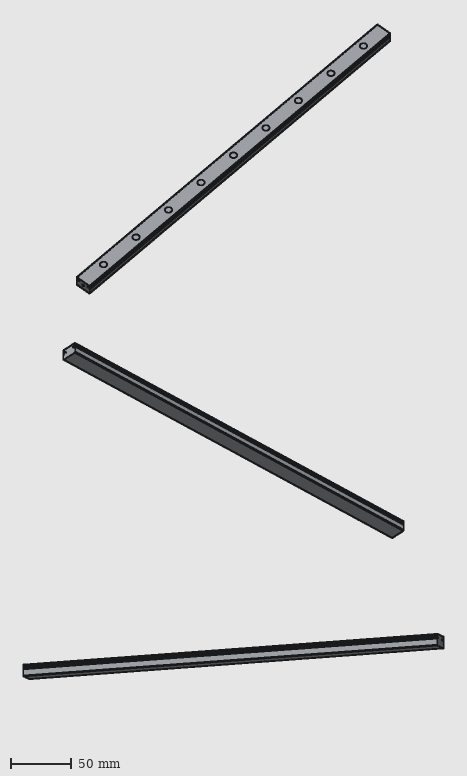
import cadquery as cq

width = 15.0
length = 370.0
height = 10.0
top_bevel = 0.5
bottom_bevel = 0.7

track_height = 7.0
track_radius = 1.5
track_depth = 0.6
slot_height = 0.6
slot_depth = 3.0

hole_count = 9
hole_pitch = 40.0
hole_diameter = 6.0
cap_recess = 0.1

end_hole_diameter = 2.0
end_hole_height = height / 2
end_hole_depth = 5.0


def rail_body():
    """Plain bar with all four long edges bevelled."""
    bar = cq.Workplane("XY").box(width, length, height, centered=(True, True, False))
    bar = bar.faces(">Z").edges("|Y").chamfer(top_bevel)
    return bar.faces("<Z").edges("|Y").chamfer(bottom_bevel)


def ball_track(side):
    """Groove and slot cutter for one flank; side is -1 for -X and +1 for +X."""
    flank_x = side * width / 2
    groove_x = flank_x + side * (track_radius - track_depth)
    groove = (
        cq.Workplane("XZ")
        .center(groove_x, track_height)
        .circle(track_radius)
        .extrude(length / 2, both=True)
    )
    slot = (
        cq.Workplane("XZ")
        .center(flank_x, track_height)
        .rect(2 * slot_depth, slot_height)
        .extrude(length / 2, both=True)
    )
    return groove.union(slot)


def cap_recesses():
    """Cutters for the evenly spaced cap recesses, centred along the rail."""
    return (
        cq.Workplane("XY", origin=(0, 0, height))
        .rarray(1, hole_pitch, 1, hole_count)
        .circle(hole_diameter / 2)
        .extrude(-cap_recess)
    )


def end_hole():
    """Cutter for the blind hole going in from the front end face."""
    return (
        cq.Workplane("XZ", origin=(0, -length / 2, end_hole_height))
        .circle(end_hole_diameter / 2)
        .extrude(-end_hole_depth)
    )


result = rail_body()
for flank in (-1, 1):
    result = result.cut(ball_track(flank))
result = result.cut(cap_recesses())
result = result.cut(end_hole())